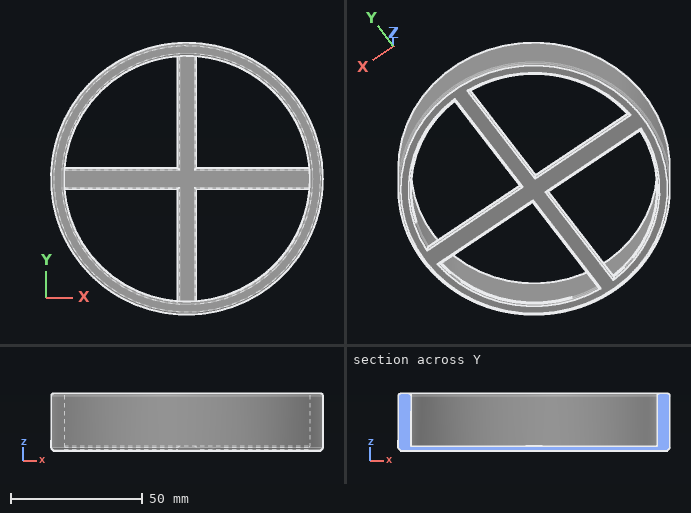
import cadquery as cq

outer_diameter = 103.5
inner_diameter = 93.5
height = 22.0
rim_fillet = 1.0

base_chamfer = 1.0
base_blend_radius = 1.0

bar_x_width = 8.2
bar_y_width = 7.2
bar_thickness = 2.0
bar_edge_fillet = 0.8
bar_chamfer = 0.7

outer_radius = outer_diameter / 2
inner_radius = inner_diameter / 2
bar_length = (outer_diameter + inner_diameter) / 2


def make_ring():
    """Round wall with a rounded top rim and chamfered bottom edges.

    The bottom chamfers run smoothly into the walls.
    """
    profile = (
        cq.Workplane("XZ")
        .moveTo(inner_radius + base_chamfer, 0)
        .lineTo(outer_radius - base_chamfer, 0)
        .lineTo(outer_radius, base_chamfer)
        .lineTo(outer_radius, height)
        .lineTo(inner_radius, height)
        .lineTo(inner_radius, base_chamfer)
        .close()
    )
    ring = profile.revolve(360, (0, 0, 0), (0, 1, 0))
    ring = ring.faces(">Z").edges().fillet(rim_fillet)
    chamfer_level = cq.selectors.BoxSelector(
        (-outer_diameter, -outer_diameter, base_chamfer / 2),
        (outer_diameter, outer_diameter, base_chamfer * 3 / 2),
        boundingbox=True,
    )
    return ring.edges(chamfer_level).fillet(base_blend_radius)


def make_cross():
    """Two crossing flat bars, rounded on top and chamfered below."""
    bar_x = cq.Workplane("XY").rect(bar_length, bar_x_width).extrude(bar_thickness)
    bar_y = cq.Workplane("XY").rect(bar_y_width, bar_length).extrude(bar_thickness)
    cross = bar_x.union(bar_y)
    cross = cross.faces(">Z").edges().fillet(bar_edge_fillet)
    return cross.faces("<Z").edges().chamfer(bar_chamfer)


result = make_ring().union(make_cross())